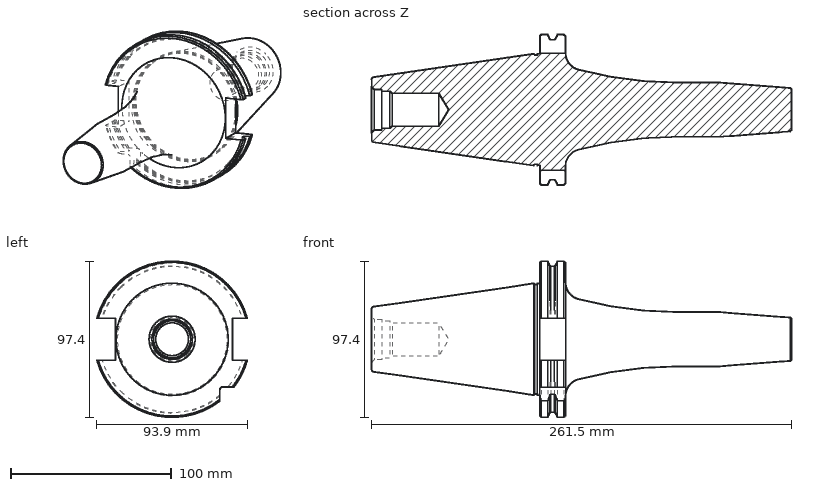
import cadquery as cq
import math

total_length = 261.5
taper_length = 101.0
gauge_radius = 34.92
taper_ratio = 7 / 24
small_end_radius = gauge_radius - taper_length * taper_ratio / 2
small_end_fillet = 1.5

relief_width = 2.4
relief_depth = 0.8

flange_start = 105.0
flange_end = 120.9
flange_radius = 48.7
flange_front_chamfer = 0.8
flange_back_chamfer = 1.0
groove_center = 112.7
groove_mouth_width = 6.0
groove_floor_width = 3.1
groove_depth = 3.1
groove_fillet = 0.8

throat_radius = 10.5
nose_radius = 17.0
nose_start = 190.2
nose_cone_start = 216.9
tip_radius = 13.5
tip_chamfer = 0.8
neck_arc_start = 128.7
neck_arc_radius = 238.0

slot_width = 26.0
slot_floor_front = 37.7
slot_floor_back = 35.3
notch_offset = 29.8
notch_fillet = 1.5

mouth_radius = 14.5
mouth_depth = 1.5
counterbore_radius = 12.5
counterbore_depth = 6.3
thread_radius = 11.5
thread_lead_depth = 11.5
bore_radius = 10.2
bore_depth = 41.9
drill_point_angle = 118.0


def make_body():
    """Revolve the outer outline, without the groove."""
    neck_angle = math.asin((nose_start - neck_arc_start) / neck_arc_radius)
    neck_radius = nose_radius + neck_arc_radius * (1 - math.cos(neck_angle))
    neck_middle = (
        nose_start - neck_arc_radius * math.sin(neck_angle / 2),
        nose_radius + neck_arc_radius * (1 - math.cos(neck_angle / 2)),
    )
    throat_x = neck_arc_start + throat_radius * math.sin(neck_angle)
    throat_y = neck_radius + throat_radius * math.cos(neck_angle)
    middle_angle = (neck_angle + math.pi / 2) / 2
    throat_middle = (
        throat_x - throat_radius * math.sin(middle_angle),
        throat_y - throat_radius * math.cos(middle_angle),
    )
    relief_end = taper_length + relief_width
    relief_radius = gauge_radius - relief_depth
    outline = (
        cq.Workplane("XY")
        .moveTo(0, 0)
        .lineTo(0, small_end_radius)
        .lineTo(taper_length, gauge_radius)
        .lineTo(taper_length + relief_depth, relief_radius)
        .lineTo(relief_end, relief_radius)
        .lineTo(relief_end, gauge_radius)
        .lineTo(flange_start, gauge_radius)
        .lineTo(flange_start, flange_radius - flange_front_chamfer)
        .lineTo(flange_start + flange_front_chamfer, flange_radius)
        .lineTo(flange_end - flange_back_chamfer, flange_radius)
        .lineTo(flange_end, flange_radius - flange_back_chamfer)
        .lineTo(flange_end, throat_y)
        .lineTo(throat_x - throat_radius, throat_y)
        .threePointArc(throat_middle, (neck_arc_start, neck_radius))
        .threePointArc(neck_middle, (nose_start, nose_radius))
        .lineTo(nose_cone_start, nose_radius)
        .lineTo(total_length - tip_chamfer, tip_radius)
        .lineTo(total_length, tip_radius - tip_chamfer)
        .lineTo(total_length, 0)
        .close()
    )
    body = outline.revolve(360, (0, 0, 0), (1, 0, 0))
    return body.faces("<X").edges().fillet(small_end_fillet)


def make_groove():
    """V-sided ring that cuts the gripper groove into the flange rim."""
    floor_radius = flange_radius - groove_depth
    points = [
        (groove_center - groove_mouth_width / 2, flange_radius),
        (groove_center - groove_floor_width / 2, floor_radius),
        (groove_center + groove_floor_width / 2, floor_radius),
        (groove_center + groove_mouth_width / 2, flange_radius),
    ]
    ring = cq.Workplane("XY").polyline(points).close().revolve(360, (0, 0, 0), (1, 0, 0))
    floor_edges = cq.selectors.RadiusNthSelector(0)
    return ring.edges(floor_edges).fillet(groove_fillet)


def flange_cutter(y_size, z_size):
    """Block over the flange width, with its corner at Y = Z = 0."""
    block = cq.Workplane("XY").box(flange_end - flange_start, y_size, z_size, centered=False)
    return block.translate((flange_start, 0, 0))


def make_drive_slots():
    """Two slots through the flange, with floors at different depths."""
    block = flange_cutter(flange_radius, slot_width)
    back = block.translate((0, slot_floor_back, -slot_width / 2))
    front = block.translate((0, -slot_floor_front - flange_radius, -slot_width / 2))
    return back.union(front)


def make_notch():
    """Corner cut on the -Y, -Z side of the flange, rounded at its inner edge."""
    block = flange_cutter(flange_radius, flange_radius)
    block = block.edges("|X and >Y and >Z").fillet(notch_fillet)
    offset = -notch_offset - flange_radius
    return block.translate((0, offset, offset))


def make_bore():
    """Blind stepped bore with a conical bottom."""
    point_length = bore_radius / math.tan(math.radians(drill_point_angle / 2))
    thread_lead_end = thread_lead_depth + thread_radius - bore_radius
    points = [
        (0, 0),
        (0, mouth_radius),
        (mouth_depth, counterbore_radius),
        (counterbore_depth, counterbore_radius),
        (counterbore_depth, thread_radius),
        (thread_lead_depth, thread_radius),
        (thread_lead_end, bore_radius),
        (bore_depth, bore_radius),
        (bore_depth + point_length, 0),
    ]
    return cq.Workplane("XY").polyline(points).close().revolve(360, (0, 0, 0), (1, 0, 0))


result = make_body()
for cutter in (make_groove(), make_drive_slots(), make_notch(), make_bore()):
    result = result.cut(cutter)